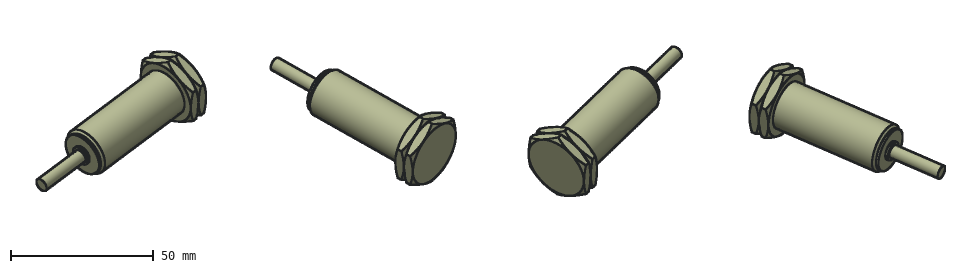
import cadquery as cq
import math

total_length = 72.0

nut_across_flats = 24.0
nut_pair_thickness = 8.0
nut_count = 2
nut_face_diameter = 23.75
nut_chamfer_angle = 30.0

barrel_diameter = 18.0
barrel_length = 42.0
barrel_chamfer = 1.0

end_step_diameter = barrel_diameter - 2 * barrel_chamfer
end_step_length = 1.0
collar_diameter = 7.05
collar_length = 1.0
cable_diameter = 5.0

nut_thickness = nut_pair_thickness / nut_count
nut_across_corners = nut_across_flats / math.cos(math.radians(30))

nut_start = total_length - nut_pair_thickness
barrel_start = nut_start - barrel_length
end_step_start = barrel_start - end_step_length
collar_start = end_step_start - collar_length


def cylinder(diameter, start, end):
    """Cylinder on the Y axis between two axial stations."""
    plane = cq.Workplane("XZ", origin=(0, end, 0))
    return plane.circle(diameter / 2).extrude(end - start)


def hex_nut(start):
    """Hex nut with corners on Z and conical chamfers on both faces."""
    end = start + nut_thickness
    hexagon = (
        cq.Workplane("XZ", origin=(0, end, 0))
        .transformed(rotate=(0, 0, 90))
        .polygon(6, nut_across_corners)
        .extrude(nut_thickness)
    )
    face_radius = nut_face_diameter / 2
    corner_radius = nut_across_corners / 2
    chamfer_depth = (corner_radius - face_radius) * math.tan(math.radians(nut_chamfer_angle))
    chamfer_envelope = (
        cq.Workplane("XY")
        .polyline([
            (0, start),
            (face_radius, start),
            (corner_radius, start + chamfer_depth),
            (corner_radius, end - chamfer_depth),
            (face_radius, end),
            (0, end),
        ])
        .close()
        .revolve(360, (0, 0, 0), (0, 1, 0))
    )
    return hexagon.intersect(chamfer_envelope)


barrel = cylinder(barrel_diameter, barrel_start, total_length).faces("<Y").chamfer(barrel_chamfer)
end_step = cylinder(end_step_diameter, end_step_start, barrel_start)
collar = cylinder(collar_diameter, collar_start, end_step_start)
cable = cylinder(cable_diameter, 0, collar_start)

result = barrel.union(end_step).union(collar).union(cable)
for nut_index in range(nut_count):
    result = result.union(hex_nut(nut_start + nut_index * nut_thickness))